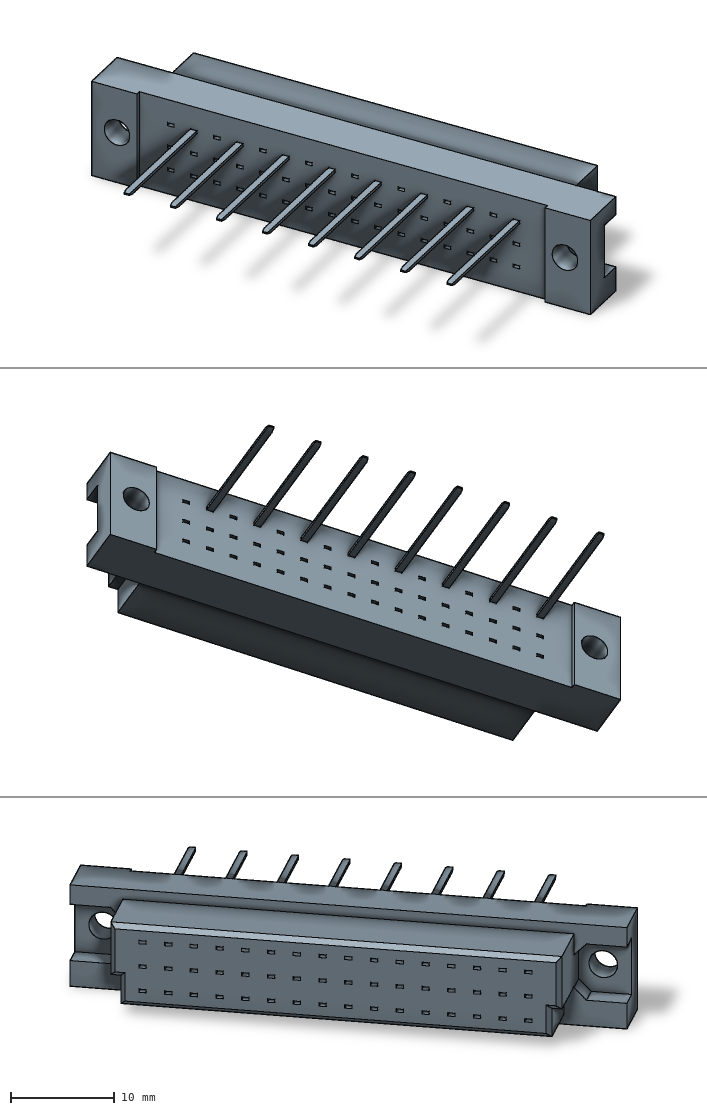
import cadquery as cq

FLANGE_LENGTH = 55.0
FLANGE_DEPTH = 5.15
FLANGE_HEIGHT = 10.6
EAR_LENGTH = 5.0
FRONT_RECESS_DEPTH = 0.5

SHROUD_LENGTH = 44.55
SHROUD_DEPTH = 6.4
SHROUD_HEIGHT = 8.45
SHROUD_KEY_STEP = 1.0
SHROUD_KEY_Z = -1.25
SHROUD_CHAMFER = 0.5

MOUNT_SPACING = 49.4
MOUNT_DIAMETER = 2.8
MOUNT_Z = 0.35
POCKET_DEPTH = 2.3
POCKET_HEIGHT = 5.9
POCKET_INNER_HEIGHT = 3.4

COLUMNS = 16
ROWS = 3
COLUMN_SPAN = 38.1
COLUMN_PITCH = COLUMN_SPAN / (COLUMNS - 1)
ROW_PITCH = COLUMN_PITCH
PIN_WIDTH = 0.7
PIN_THICKNESS = 0.35

PIN_COLUMN_STEP = 2
PIN_REACH = 13.05
PIN_TIP_LENGTH = 0.5
PIN_TIP_WIDTH = 0.55
PIN_TIP_THICKNESS = 0.15

BACK_Y = FLANGE_DEPTH + SHROUD_DEPTH
COLUMN_X = [column * COLUMN_PITCH - COLUMN_SPAN / 2 for column in range(COLUMNS)]
ROW_Z = [(row - (ROWS - 1) / 2) * ROW_PITCH for row in range(ROWS)]
TOP_ROW_Z = ROW_Z[-1]


def xz_plane(y):
    """Plane at the given y with local axes X and Z; extruding by a negative length goes toward +Y."""
    return cq.Workplane("XZ", origin=(0, y, 0))


def make_flange():
    bar = xz_plane(0).rect(FLANGE_LENGTH, FLANGE_HEIGHT).extrude(-FLANGE_DEPTH)
    recess_length = FLANGE_LENGTH - 2 * EAR_LENGTH
    recess = xz_plane(0).rect(recess_length, FLANGE_HEIGHT).extrude(-FRONT_RECESS_DEPTH)
    return bar.cut(recess)


def make_shroud():
    half_length = SHROUD_LENGTH / 2
    half_lower = half_length - SHROUD_KEY_STEP
    half_height = SHROUD_HEIGHT / 2
    return (
        xz_plane(FLANGE_DEPTH)
        .moveTo(-half_length, half_height)
        .lineTo(half_length, half_height)
        .lineTo(half_length, SHROUD_KEY_Z)
        .lineTo(half_lower, SHROUD_KEY_Z)
        .lineTo(half_lower, -half_height)
        .lineTo(-half_lower, -half_height)
        .lineTo(-half_lower, SHROUD_KEY_Z)
        .lineTo(-half_length, SHROUD_KEY_Z)
        .close()
        .extrude(-SHROUD_DEPTH)
        .faces(">Y")
        .chamfer(SHROUD_CHAMFER)
    )


def make_left_pocket():
    """Pocket of the -X ear: straight, then narrowing at 45 degrees to the end plane of the shroud."""
    outer_x = -FLANGE_LENGTH / 2
    inner_x = -SHROUD_LENGTH / 2
    half_outer = POCKET_HEIGHT / 2
    half_inner = POCKET_INNER_HEIGHT / 2
    taper_x = inner_x - (half_outer - half_inner)
    return (
        xz_plane(FLANGE_DEPTH)
        .moveTo(outer_x, MOUNT_Z - half_outer)
        .lineTo(taper_x, MOUNT_Z - half_outer)
        .lineTo(inner_x, MOUNT_Z - half_inner)
        .lineTo(inner_x, MOUNT_Z + half_inner)
        .lineTo(taper_x, MOUNT_Z + half_outer)
        .lineTo(outer_x, MOUNT_Z + half_outer)
        .close()
        .extrude(POCKET_DEPTH)
    )


def make_mount_holes():
    centres = [(-MOUNT_SPACING / 2, MOUNT_Z), (MOUNT_SPACING / 2, MOUNT_Z)]
    return xz_plane(0).pushPoints(centres).circle(MOUNT_DIAMETER / 2).extrude(-FLANGE_DEPTH)


def make_contact_slots():
    centres = [(x, z) for x in COLUMN_X for z in ROW_Z]
    return xz_plane(0).pushPoints(centres).rect(PIN_WIDTH, PIN_THICKNESS).extrude(-BACK_Y)


def make_housing():
    left_pocket = make_left_pocket()
    return (
        make_flange()
        .union(make_shroud())
        .cut(left_pocket)
        .cut(left_pocket.mirror("YZ"))
        .cut(make_mount_holes())
        .cut(make_contact_slots())
    )


def make_pin(x):
    """Flat pin filling its slot up to the shroud's back face, with a tapered front tip."""
    tip_base_y = PIN_TIP_LENGTH - PIN_REACH
    shank_length = BACK_Y - tip_base_y
    tip_base = xz_plane(tip_base_y).center(x, TOP_ROW_Z)
    shank = tip_base.rect(PIN_WIDTH, PIN_THICKNESS).extrude(-shank_length)
    tip = (
        tip_base.rect(PIN_WIDTH, PIN_THICKNESS)
        .workplane(offset=PIN_TIP_LENGTH)
        .rect(PIN_TIP_WIDTH, PIN_TIP_THICKNESS)
        .loft(combine=False)
    )
    return shank.union(tip)


housing = make_housing()
pins = [make_pin(x) for x in COLUMN_X[1::PIN_COLUMN_STEP]]

result = cq.Compound.makeCompound([housing.val(), *[pin.val() for pin in pins]])